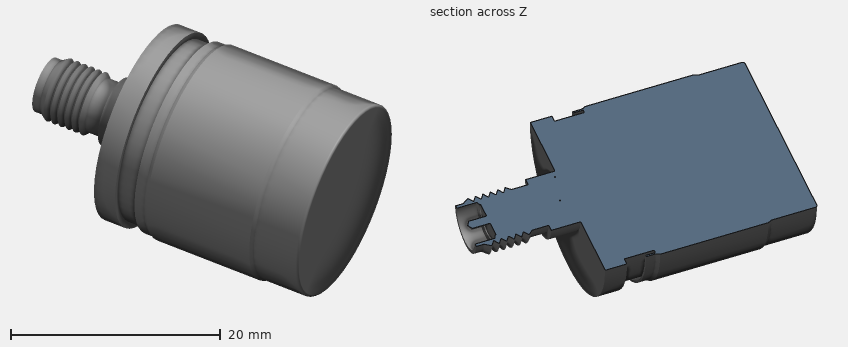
import cadquery as cq

barrel_radius = 2.77
thread_crest_radius = 3.23
thread_root_radius = 2.68
thread_start = 0.8
thread_end = 5.75
first_crest = 1.45
last_crest = 5.25
crest_count = 6
thread_pitch = (last_crest - first_crest) / (crest_count - 1)

collar_start = 7.42
collar_radius = 3.45

overall_length = 32.25
body_radius = 10.0
shoulder_radius = 9.8
undercut_radius = 9.58
groove_radius = 9.32
flange_start = 10.42
flange_end = 12.68
groove_end = 14.68
sleeve_start = 15.68
undercut_end = sleeve_start
sleeve_end = 27.52
sleeve_bevel = 0.4
end_round = 0.25

socket_radius = 2.4
socket_depth = 2.03
seat_radius = 2.05
seat_bevel_length = 0.15
recess_radius = 2.0
recess_depth = 0.1

pin_radius = 0.52
pin_tip_start = 0.15
pin_tip_length = 0.32


def revolve_about_x(outline):
    """Revolve a closed outline of (x, radius) points about the X axis."""
    return cq.Workplane("XY").polyline(outline).close().revolve(360, (0, 0, 0), (1, 0, 0))


def thread_outline():
    """V-shaped ring threads, from the lead-in cone to the run-out cone."""
    points = [(thread_start, barrel_radius)]
    for index in range(crest_count):
        crest = first_crest + index * thread_pitch
        points.append((crest, thread_crest_radius))
        if index < crest_count - 1:
            points.append((crest + thread_pitch / 2, thread_root_radius))
    points.append((thread_end, barrel_radius))
    return points


def make_shell():
    """Solid outer form, from the threaded barrel to the far end of the body."""
    end_face_radius = shoulder_radius - end_round
    end_round_start = overall_length - end_round
    barrel = [(0, 0), (0, barrel_radius)] + thread_outline() + [(collar_start, barrel_radius)]
    collar = [(collar_start, collar_radius), (flange_start, collar_radius)]
    flange = [(flange_start, body_radius), (flange_end, body_radius)]
    groove = [(flange_end, groove_radius), (undercut_end, groove_radius)]
    lip = [
        (undercut_end, undercut_radius),
        (groove_end, undercut_radius),
        (groove_end, shoulder_radius),
    ]
    sleeve = [
        (sleeve_start, shoulder_radius),
        (sleeve_start + sleeve_bevel, body_radius),
        (sleeve_end - sleeve_bevel, body_radius),
        (sleeve_end, shoulder_radius),
    ]
    outline = (
        cq.Workplane("XY")
        .polyline(barrel + collar + flange + groove + lip + sleeve)
        .lineTo(end_round_start, shoulder_radius)
        .radiusArc((overall_length, end_face_radius), end_round)
        .lineTo(overall_length, 0)
        .close()
    )
    return outline.revolve(360, (0, 0, 0), (1, 0, 0))


def make_socket():
    """Round socket with a bevelled seat and a shallow recess at its floor."""
    seat = socket_depth + seat_bevel_length
    return revolve_about_x([
        (0, 0),
        (0, socket_radius),
        (socket_depth, socket_radius),
        (seat, seat_radius),
        (seat, recess_radius),
        (seat + recess_depth, recess_radius),
        (seat + recess_depth, 0),
    ])


def make_pin():
    """Centre pin with a tapered tip, rooted in the material behind the socket."""
    return revolve_about_x([
        (pin_tip_start, 0),
        (pin_tip_start + pin_tip_length, pin_radius),
        (collar_start, pin_radius),
        (collar_start, 0),
    ])


result = make_shell().cut(make_socket()).union(make_pin())